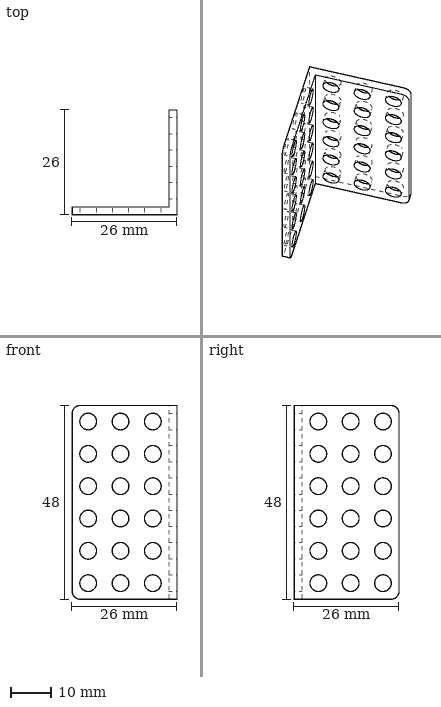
import cadquery as cq

height = 48.0
leg_length = 26.0
thickness = 2.0
corner_radius = 2.0
hole_diameter = 4.1
hole_rows = 6
hole_columns = 3

hole_pitch = height / hole_rows
edge_margin = hole_pitch / 2


def perforated_leg():
    """Plate in the XZ plane, free edge at X = 0, thickness along +Y."""
    plate = cq.Workplane("XY").box(leg_length, thickness, height, centered=False)
    plate = plate.edges("|Y and <X").fillet(corner_radius)
    centers = [
        (edge_margin + column * hole_pitch, edge_margin + row * hole_pitch)
        for column in range(hole_columns)
        for row in range(hole_rows)
    ]
    holes = (
        cq.Workplane("XZ")
        .pushPoints(centers)
        .circle(hole_diameter / 2)
        .extrude(-thickness)
    )
    return plate.cut(holes)


front_leg = perforated_leg()

side_leg = (
    perforated_leg()
    .rotate((0, 0, 0), (0, 0, 1), -90)
    .translate((leg_length - thickness, leg_length, 0))
)

result = front_leg.union(side_leg)